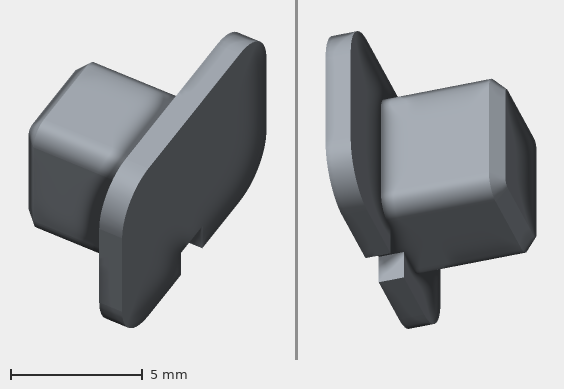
import cadquery as cq

plate_thickness = 1.0
plate_width = 11.0
plate_height = 8.0
plate_corner_radius = 2.0

plug_length = 4.8
plug_width = 4.8
plug_height = 5.6
plug_corner_radius = 0.8
plug_chamfer = 0.5
plug_center_y = -0.6

notch_width = 1.62
notch_center_y = -0.2
notch_depth = (plate_height - plug_height) / 2


def rounded_block(length, width, height, corner_radius):
    """Block from X = 0 toward +X, with its four X-direction edges rounded."""
    block = cq.Workplane("YZ").rect(width, height).extrude(length)
    return block.edges("|X").fillet(corner_radius)


def make_plate():
    plate = rounded_block(plate_thickness, plate_width, plate_height, plate_corner_radius)
    notch = cq.Workplane("XY").box(
        plate_thickness, notch_width, notch_depth, centered=(False, True, False)
    )
    return plate.cut(notch.translate((0, notch_center_y, -plate_height / 2)))


def make_plug():
    plug = rounded_block(plug_length, plug_width, plug_height, plug_corner_radius)
    plug = plug.faces("<X").chamfer(plug_chamfer)
    return plug.translate((-plug_length, plug_center_y, 0))


result = make_plate().union(make_plug())